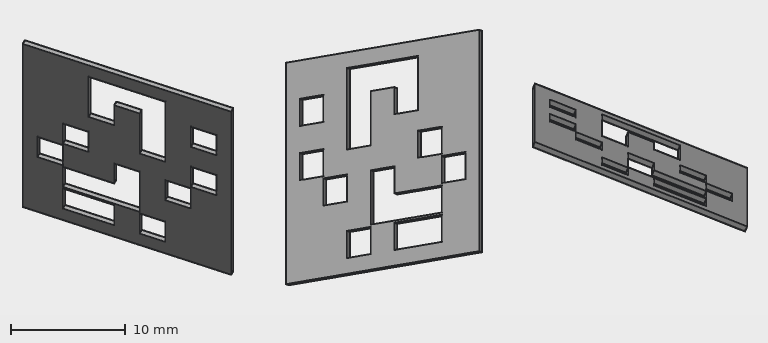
import cadquery as cq

plate_side = 20.0
plate_thickness = 0.5

grid_side = 17.15
cells_per_side = 7
cell = grid_side / cells_per_side
grid_edge = -grid_side / 2

web = 0.2

window_blocks = [
    (1, 0, 2, 1, 0),
    (4, 0, 1, 1, 0),
    (1, 1, 3, 1, 1),
    (3, 1, 1, 2, 1),
    (0, 2, 1, 1, 2),
    (1, 3, 1, 1, 3),
    (5, 2, 1, 1, 1),
    (6, 3, 1, 1, 2),
    (6, 5, 1, 1, 2),
    (2, 5, 1, 2, 0),
    (2, 6, 3, 1, 0),
    (4, 4, 1, 3, 0),
]


def window_cutter(column, row, columns, rows, webs_below):
    """Box through the plate covering a rectangular block of grid cells."""
    width = columns * cell
    height = rows * cell
    center_x = grid_edge + column * cell + width / 2
    center_z = grid_edge + row * cell + webs_below * web + height / 2
    cutter_depth = 2 * plate_thickness
    return cq.Workplane("XY").box(width, cutter_depth, height).translate((center_x, 0, center_z))


result = cq.Workplane("XY").box(plate_side, plate_thickness, plate_side)
for block in window_blocks:
    result = result.cut(window_cutter(*block))